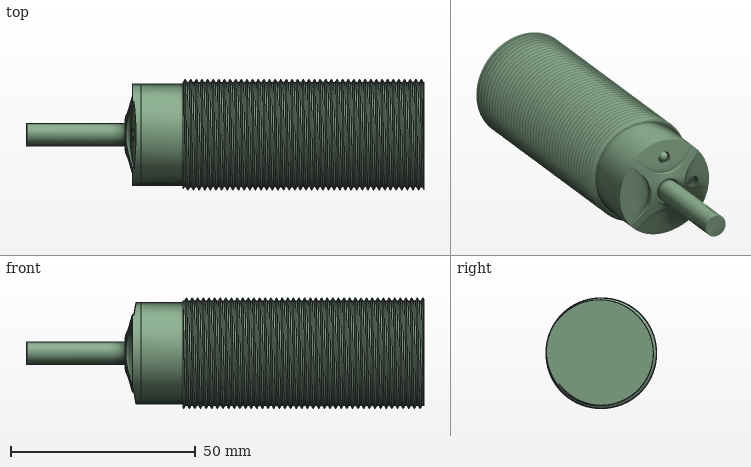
import cadquery as cq
import math

total_length = 107.57

cone_tip_x = 26.6
flat_floor_x = 28.65
collar_start_x = 31.0
thread_start_x = 42.35

cable_radius = 3.07
cap_radius = 13.77
collar_radius = cap_radius

thread_radius = 14.985
thread_pitch = 1.5235
thread_root_radius = 14.1
first_crest_x = 43.29
flank_angle = 30
spare_turns = 2
ridge_embed = 0.05

cone_inner_radius = 3.75
cable_mouth_round = 0.6

rib_half_width = 1.03
pocket_inner_reach = 5.0
sloped_floor_angle = 10.0
sloped_floor_rim_x = 29.62

hole_offset = 8.9
indicator_hole_radius = 1.8
adjuster_hole_radius = 1.65
lamp_radius = 1.45
lamp_tip_x = 28.45


def disc(x_start, x_end, radius):
    """Solid cylinder along X."""
    return cq.Workplane("YZ", origin=(x_start, 0, 0)).circle(radius).extrude(x_end - x_start)


def rod(x_start, x_end, radius, y, z):
    """Solid cylinder parallel to X, off the axis."""
    return disc(x_start, x_end, radius).translate((0, y, z))


def make_cable():
    return disc(0, collar_start_x, cable_radius)


def pocket_prism(x_start, x_end):
    """Pocket outline on the +Z side, as a prism along X.

    Two sides run parallel to the 45 degree ribs and an arc tangent to both faces the cable.
    """
    rib_gap = rib_half_width * math.sqrt(2)
    arc_radius = (pocket_inner_reach - rib_gap) / (math.sqrt(2) - 1)
    tangent_y = arc_radius / math.sqrt(2)
    tangent_z = tangent_y + rib_gap
    outer_y = cap_radius
    outer_z = outer_y + rib_gap
    return (
        cq.Workplane("YZ", origin=(x_start, 0, 0))
        .moveTo(-outer_y, outer_z)
        .lineTo(-tangent_y, tangent_z)
        .threePointArc((0, pocket_inner_reach), (tangent_y, tangent_z))
        .lineTo(outer_y, outer_z)
        .close()
        .extrude(x_end - x_start)
    )


def sloped_pocket():
    """+Z pocket whose floor falls back towards the rim."""
    slope = math.tan(math.radians(sloped_floor_angle))
    axis_x = sloped_floor_rim_x - slope * cap_radius
    outer_z = 2 * cap_radius
    space_ahead_of_floor = (
        cq.Workplane("XZ")
        .moveTo(0, 0)
        .lineTo(axis_x, 0)
        .lineTo(axis_x + slope * outer_z, outer_z)
        .lineTo(0, outer_z)
        .close()
        .extrude(cap_radius, both=True)
    )
    return pocket_prism(0, collar_start_x).intersect(space_ahead_of_floor)


def make_cap():
    """Cone-fronted cap with four pockets, the cable hole and two small holes."""
    body = (
        cq.Workplane("XY")
        .moveTo(cone_tip_x, 0)
        .lineTo(cone_tip_x, cone_inner_radius)
        .lineTo(flat_floor_x, cap_radius)
        .lineTo(collar_start_x, cap_radius)
        .lineTo(collar_start_x, 0)
        .close()
        .revolve(360, (0, 0, 0), (1, 0, 0))
    )
    flat_pocket = pocket_prism(0, flat_floor_x)
    for turn in (0, 180):
        body = body.cut(sloped_pocket().rotate((0, 0, 0), (1, 0, 0), turn))
        body = body.cut(flat_pocket.rotate((0, 0, 0), (1, 0, 0), turn + 90))
    body = body.cut(disc(0, collar_start_x, cable_radius))
    mouth_edge = cq.selectors.RadiusNthSelector(0)
    body = body.faces("<X").edges(mouth_edge).fillet(cable_mouth_round)
    body = body.cut(rod(0, collar_start_x, indicator_hole_radius, 0, hole_offset))
    body = body.cut(rod(0, collar_start_x, adjuster_hole_radius, -hole_offset, 0))
    return body


def make_lamp():
    """Round-nosed indicator lamp standing in the +Z hole."""
    shoulder_x = lamp_tip_x + lamp_radius
    nose_mid = lamp_radius / math.sqrt(2)
    return (
        cq.Workplane("XY")
        .moveTo(lamp_tip_x, 0)
        .threePointArc((shoulder_x - nose_mid, nose_mid), (shoulder_x, lamp_radius))
        .lineTo(collar_start_x, lamp_radius)
        .lineTo(collar_start_x, 0)
        .close()
        .revolve(360, (0, 0, 0), (1, 0, 0))
        .translate((0, 0, hole_offset))
    )


def make_collar():
    return disc(collar_start_x, thread_start_x, collar_radius)


def thread_ridge(first_turn, last_turn):
    """Right-hand V ridge between two turn numbers.

    Its crest crosses the +Z side at every whole turn, and turn 0 is at first_crest_x.
    """
    foot_radius = thread_root_radius - ridge_embed
    half_foot = (thread_radius - foot_radius) * math.tan(math.radians(flank_angle))
    length = (last_turn - first_turn) * thread_pitch
    path = cq.Wire.makeHelix(thread_pitch, length, thread_root_radius)
    ridge = (
        cq.Workplane("XZ")
        .moveTo(foot_radius, -half_foot)
        .lineTo(thread_radius, 0)
        .lineTo(foot_radius, half_foot)
        .close()
        .sweep(path, isFrenet=True)
    )
    ridge = ridge.rotate((0, 0, 0), (0, 1, 0), 90).rotate((0, 0, 0), (1, 0, 0), 180)
    return ridge.translate((first_crest_x + first_turn * thread_pitch, 0, 0))


def make_barrel():
    """Threaded barrel with its helical thread cut flush at both ends."""
    barrel = disc(thread_start_x, total_length, thread_root_radius)
    thread_zone = disc(thread_start_x, total_length, 2 * thread_radius)
    last_full_turn = math.floor((total_length - first_crest_x) / thread_pitch) - 1
    run_in = thread_ridge(-spare_turns, 1).intersect(thread_zone)
    run_out = thread_ridge(last_full_turn, last_full_turn + 1 + spare_turns).intersect(thread_zone)
    full_turns = thread_ridge(1, last_full_turn)
    return barrel.union(full_turns).union(run_in).union(run_out)


cable = make_cable()
cap = make_cap()
lamp = make_lamp()
collar = make_collar()
barrel = make_barrel()

result = cq.Compound.makeCompound(
    [cable.val(), cap.val(), lamp.val(), collar.val(), barrel.val()]
)